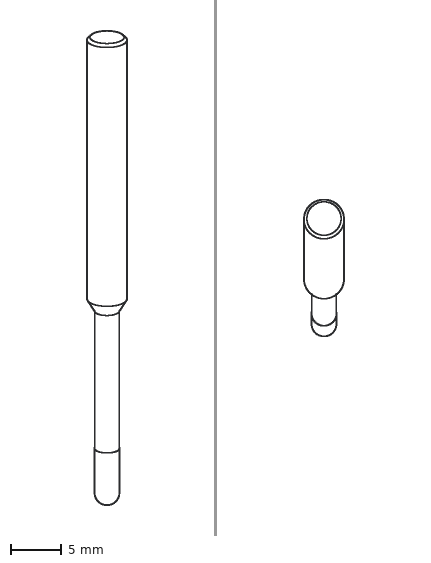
import cadquery as cq

total_length = 50.0
shank_diameter = 4.0
shank_length = 28.0
end_chamfer = 0.3
taper_length = 1.3
neck_diameter = 2.45
cutter_diameter = 2.5
cutter_length = 6.0

shank_radius = shank_diameter / 2
neck_radius = neck_diameter / 2
cutter_radius = cutter_diameter / 2
top_z = total_length / 2
tip_z = -total_length / 2
shank_bottom_z = top_z - shank_length
neck_top_z = shank_bottom_z - taper_length
cutter_top_z = tip_z + cutter_length
ball_centre_z = tip_z + cutter_radius


def make_holder():
    """Chamfered shank, conical taper and slender neck, revolved about Z."""
    return (
        cq.Workplane("XZ")
        .moveTo(0, cutter_top_z)
        .lineTo(neck_radius, cutter_top_z)
        .lineTo(neck_radius, neck_top_z)
        .lineTo(shank_radius, shank_bottom_z)
        .lineTo(shank_radius, top_z - end_chamfer)
        .lineTo(shank_radius - end_chamfer, top_z)
        .lineTo(0, top_z)
        .close()
        .revolve(360, (0, 0, 0), (0, 1, 0))
    )


def make_cutter():
    """Cylindrical cutting head with a hemispherical tip, touching the neck."""
    return (
        cq.Workplane("XZ")
        .moveTo(0, cutter_top_z)
        .lineTo(cutter_radius, cutter_top_z)
        .lineTo(cutter_radius, ball_centre_z)
        .radiusArc((0, tip_z), cutter_radius)
        .close()
        .revolve(360, (0, 0, 0), (0, 1, 0))
    )


holder = make_holder()
cutter = make_cutter()

result = cq.Compound.makeCompound([holder.val(), cutter.val()])